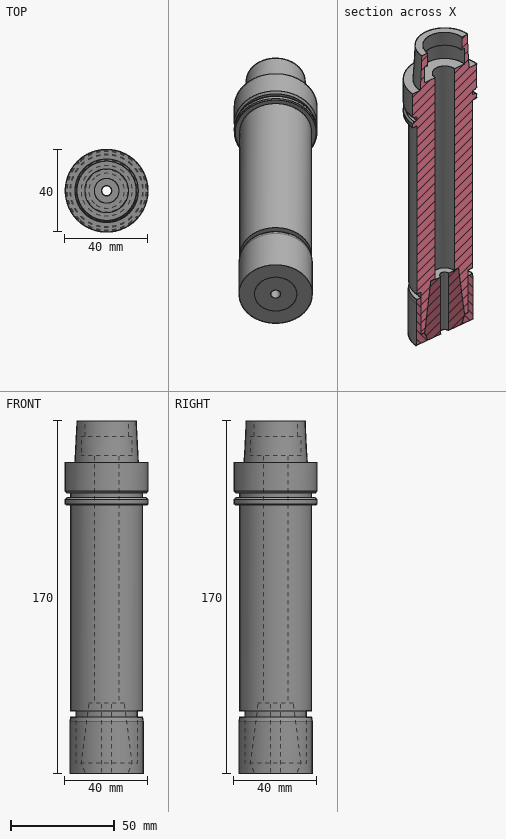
import cadquery as cq

TOTAL_LENGTH = 170.0
SHANK_LENGTH = 20.0
FLANGE_TOP = TOTAL_LENGTH - SHANK_LENGTH
FLANGE_LENGTH = 20.4
FLANGE_BOTTOM = FLANGE_TOP - FLANGE_LENGTH
NUT_LENGTH = 27.2
NECK_TOP = 30.3

FLANGE_RADIUS = 19.98
TUBE_RADIUS = 17.3
NECK_RADIUS = 14.8
SHANK_TOP_RADIUS = 14.3
SHANK_BASE_RADIUS = 15.3
NUT_RADIUS = 17.7

GROOVE_TOP = 135.2
GROOVE_BOTTOM = 133.1
FLANGE_CHAMFER = 1.0
RIM_CHAMFER = 0.5

SOCKET_RADIUS = 10.5
RECESS_RADIUS = 12.2
LIP_LENGTH = 7.6
RECESS_LENGTH = 9.0
BORE_RADIUS = 6.0

NUT_TOP_CHAMFER_HEIGHT = 2.0
NUT_TOP_CHAMFER_DEPTH = 0.3
NOSE_BOTTOM = 5.1

COLLET_LENGTH = 34.0
COLLET_TOP_RADIUS = 8.5
COLLET_MOUTH_RADIUS = 12.2
COLLET_FACE_RADIUS = 10.2
COLLET_HOLE_RADIUS = 2.4


def revolve_profile(points):
    """Revolve a closed (radius, height) outline a full turn about Z."""
    return cq.Workplane("XZ").polyline(points).close().revolve(360, (0, 0), (0, 1))


def cylinder(radius, bottom, top):
    return cq.Workplane("XY").workplane(offset=bottom).circle(radius).extrude(top - bottom)


def make_collet_blank():
    """Solid collet: long seating taper above, short retaining taper below."""
    return revolve_profile([
        (0, 0),
        (COLLET_FACE_RADIUS, 0),
        (COLLET_MOUTH_RADIUS, NOSE_BOTTOM),
        (COLLET_TOP_RADIUS, COLLET_LENGTH),
        (0, COLLET_LENGTH),
    ])


def make_holder():
    """Taper shank, grooved flange, tube, neck and nose in one body."""
    holder = revolve_profile([
        (0, NOSE_BOTTOM),
        (NECK_RADIUS, NOSE_BOTTOM),
        (NECK_RADIUS, NECK_TOP),
        (TUBE_RADIUS, NECK_TOP),
        (TUBE_RADIUS, FLANGE_BOTTOM),
        (FLANGE_RADIUS - RIM_CHAMFER, FLANGE_BOTTOM),
        (FLANGE_RADIUS, FLANGE_BOTTOM + RIM_CHAMFER),
        (FLANGE_RADIUS, GROOVE_BOTTOM - FLANGE_CHAMFER),
        (FLANGE_RADIUS - FLANGE_CHAMFER, GROOVE_BOTTOM),
        (TUBE_RADIUS, GROOVE_BOTTOM),
        (TUBE_RADIUS, GROOVE_TOP),
        (FLANGE_RADIUS - FLANGE_CHAMFER, GROOVE_TOP),
        (FLANGE_RADIUS, GROOVE_TOP + FLANGE_CHAMFER),
        (FLANGE_RADIUS, FLANGE_TOP),
        (SHANK_BASE_RADIUS, FLANGE_TOP),
        (SHANK_TOP_RADIUS, TOTAL_LENGTH),
        (0, TOTAL_LENGTH),
    ])
    lip_bottom = TOTAL_LENGTH - LIP_LENGTH
    recess_bottom = lip_bottom - RECESS_LENGTH
    lip_bore = cylinder(SOCKET_RADIUS, lip_bottom, TOTAL_LENGTH)
    recess = cylinder(RECESS_RADIUS, recess_bottom, lip_bottom)
    through_bore = cylinder(BORE_RADIUS, NOSE_BOTTOM, recess_bottom)
    return holder.cut(lip_bore).cut(recess).cut(through_bore).cut(make_collet_blank())


def make_nut():
    """Round clamping nut around the holder nose, closed below by the collet."""
    nut = revolve_profile([
        (0, 0),
        (NUT_RADIUS, 0),
        (NUT_RADIUS, NUT_LENGTH - NUT_TOP_CHAMFER_HEIGHT),
        (NUT_RADIUS - NUT_TOP_CHAMFER_DEPTH, NUT_LENGTH),
        (0, NUT_LENGTH),
    ])
    nose_pocket = cylinder(NECK_RADIUS, NOSE_BOTTOM, NUT_LENGTH)
    return nut.cut(nose_pocket).cut(make_collet_blank())


def make_collet():
    return make_collet_blank().cut(cylinder(COLLET_HOLE_RADIUS, 0, COLLET_LENGTH))


holder = make_holder()
nut = make_nut()
collet = make_collet()
result = cq.Compound.makeCompound([holder.val(), nut.val(), collet.val()])